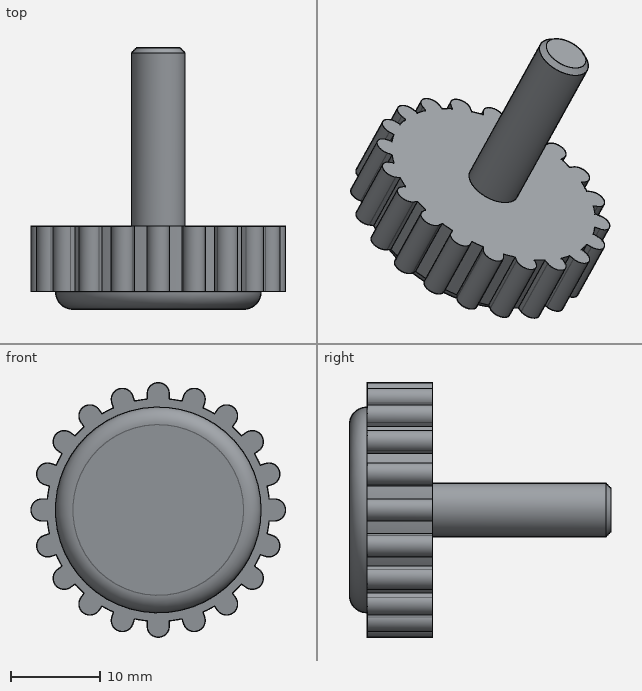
import cadquery as cq

total_length = 29.3
outer_diameter = 28.5

rib_count = 20
rib_width = 2.5
ring_radius = 12.48
ring_length = 7.32

cap_radius = 11.51
cap_height = 2.0
cap_rounding = 1.95

stem_diameter = 6.0
stem_chamfer = 0.6
stem_length = total_length - ring_length - cap_height

rib_center_radius = (outer_diameter - rib_width) / 2


def disc(radius, start_y, length):
    """Cylinder along +Y, starting at start_y."""
    return cq.Workplane("XZ", origin=(0, start_y, 0)).circle(radius).extrude(-length)


def grip_rib(angle):
    """Radial rib with a round outer end, running the full ring length."""
    web = (
        cq.Workplane("XZ")
        .center(rib_center_radius / 2, 0)
        .rect(rib_center_radius, rib_width)
        .extrude(-ring_length)
    )
    tip = cq.Workplane("XZ").center(rib_center_radius, 0).circle(rib_width / 2).extrude(-ring_length)
    return web.union(tip).rotate((0, 0, 0), (0, 1, 0), angle)


knob = disc(ring_radius, 0, ring_length)
for index in range(rib_count):
    knob = knob.union(grip_rib(index * 360 / rib_count))

cap = disc(cap_radius, -cap_height, cap_height).faces("<Y").edges().fillet(cap_rounding)

stem = disc(stem_diameter / 2, ring_length, stem_length).faces(">Y").edges().chamfer(stem_chamfer)

result = knob.union(cap).union(stem)